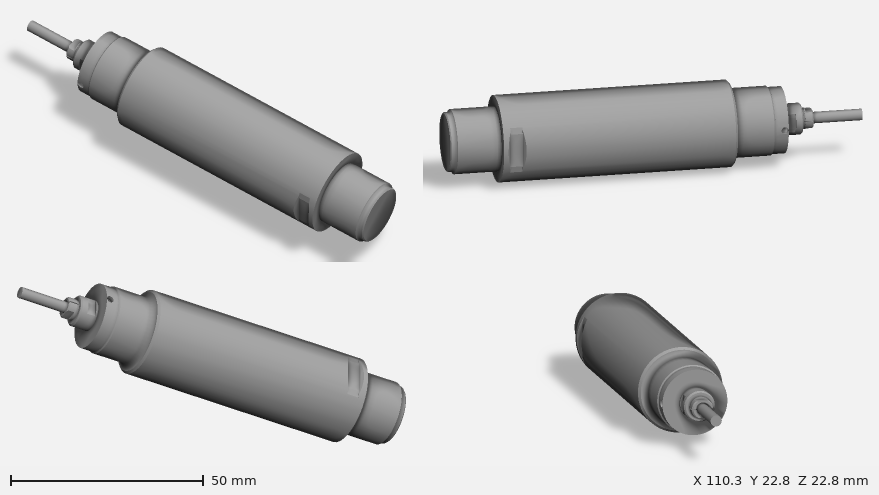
import cadquery as cq
import math


clamp_start = 13.15
clamp_flats_end = 15.15
clamp_neck_start = 15.45
clamp_slit_end = 15.85
collar_start = 16.1
cap_start = 21.0
sleeve_start = 24.5
shoulder_fillet_start = 33.4
barrel_start = 34.85
barrel_end = 96.9
nose_start = 97.9
nose_hollow_start = 108.5
nose_hollow_middle = 109.3
overall_length = 110.27

cable_radius = 1.5

clamp_radius = 2.85
clamp_neck_radius = 2.75
clamp_chamfer = 0.35
clamp_across_flats = 4.4
clamp_countersink = 0.35
clamp_slit_width = 0.3

collar_radius = 4.15
collar_chamfer = 0.4
collar_notch_start = 18.1
collar_notch_end = 20.45
collar_notch_depth = 0.75
collar_flat_half_height = 1.5
collar_notch_half_height = 2.5

cap_radius = 8.75
cap_hole_radius = 0.95
cap_hole_wall = 0.03
cap_hole_floor = 7.4
cap_hole_tip_angle = 118.0

sleeve_radius = 9.1
sleeve_edge_chamfer = sleeve_radius - cap_radius
barrel_radius = 11.4
barrel_edge_chamfer = 0.6
neck_radius = 8.45
nose_radius = 8.5
rim_radius = 7.8
rim_chamfer = 0.3
wrench_notch_start = 91.7
wrench_notch_end = 94.95
wrench_notch_depth = 1.3
wrench_flat_half_height = 4.45
wrench_notch_half_height = 6.1
wrench_wall_angle = 30.0


def revolve_about_x(profile):
    """Close a half profile drawn in X and -Y, and turn it into a solid of revolution."""
    return profile.close().revolve(360, (0, 0, 0), (1, 0, 0))


def half_profile(x, radius):
    return cq.Workplane("XY").moveTo(x, 0).lineTo(x, -radius)


def side_notches(start, end, surface_radius, depth, flat_half, notch_half, wall_angle):
    """Two opposite cutters, on -Y and +Y: a flat with a sloping facet above and below it.

    The facets run out to nothing on the round surface at the top and bottom of the notch,
    and the end walls lean outward by wall_angle.
    """
    floor = surface_radius - depth
    run_out = math.sqrt(surface_radius**2 - notch_half**2)
    slope = (floor - run_out) / (notch_half - flat_half)
    top = 2 * notch_half
    top_y = floor - slope * (top - flat_half)
    outside = surface_radius + depth
    spread = 2 * depth * math.tan(math.radians(wall_angle))
    walls = (
        cq.Workplane("XY")
        .polyline([
            (start, floor),
            (end, floor),
            (end + spread, outside),
            (start - spread, outside),
        ])
        .close()
        .extrude(notch_half, both=True)
    )
    floor_block = (
        cq.Workplane("XY")
        .box(end - start, depth, 2 * notch_half)
        .translate(((start + end) / 2, floor - depth / 2, 0))
    )
    facets = (
        cq.Workplane("YZ")
        .polyline([
            (outside, -top),
            (top_y, -top),
            (floor, -flat_half),
            (floor, flat_half),
            (top_y, top),
            (outside, top),
        ])
        .close()
        .extrude(overall_length)
    )
    cutter = walls.union(floor_block).intersect(facets)
    return cutter.union(cutter.mirror("XZ"))


def make_cable():
    """Round cable that passes through the clamp and ends against the collar."""
    return cq.Workplane("YZ").circle(cable_radius).extrude(collar_start)


def make_clamp():
    """Slit clamp around the cable, with two wrench flats on its front part."""
    body = revolve_about_x(
        half_profile(clamp_start, clamp_radius - clamp_chamfer)
        .lineTo(clamp_start + clamp_chamfer, -clamp_radius)
        .lineTo(clamp_neck_start, -clamp_radius)
        .lineTo(clamp_neck_start, -clamp_neck_radius)
        .lineTo(collar_start, -clamp_neck_radius)
        .lineTo(collar_start, 0)
    )
    flats_length = clamp_flats_end - clamp_start
    offcut_height = clamp_radius
    for side in (1, -1):
        offcut = cq.Workplane("XY").box(flats_length, 2 * clamp_radius, offcut_height).translate((
            clamp_start + flats_length / 2,
            0,
            side * (clamp_across_flats + offcut_height) / 2,
        ))
        body = body.cut(offcut)
    countersink = revolve_about_x(
        half_profile(clamp_start, cable_radius + clamp_countersink)
        .lineTo(clamp_start + clamp_countersink, -cable_radius)
        .lineTo(clamp_start + clamp_countersink, 0)
    )
    slit_length = clamp_slit_end - clamp_start
    slit = cq.Workplane("XY").box(slit_length, 2 * clamp_radius, clamp_slit_width).translate((
        clamp_start + slit_length / 2, 0, 0,
    ))
    return body.cut(make_cable()).cut(countersink).cut(slit)


def make_collar():
    """Round collar with a wrench notch on each side."""
    body = revolve_about_x(
        half_profile(collar_start, collar_radius - collar_chamfer)
        .lineTo(collar_start + collar_chamfer, -collar_radius)
        .lineTo(cap_start, -collar_radius)
        .lineTo(cap_start, 0)
    )
    return body.cut(side_notches(
        collar_notch_start, collar_notch_end, collar_radius, collar_notch_depth,
        collar_flat_half_height, collar_notch_half_height, 0,
    ))


def make_cap():
    """End disc with a blind, cone-tipped hole drilled into each side of its rim."""
    body = cq.Workplane("YZ").workplane(offset=cap_start)
    body = body.circle(cap_radius).extrude(sleeve_start - cap_start)
    hole_x = cap_start + cap_hole_wall + cap_hole_radius
    tip_depth = cap_hole_radius / math.tan(math.radians(cap_hole_tip_angle / 2))
    hole = (
        cq.Workplane("XY")
        .polyline([
            (hole_x, -(cap_hole_floor - tip_depth)),
            (hole_x - cap_hole_radius, -cap_hole_floor),
            (hole_x - cap_hole_radius, -cap_radius),
            (hole_x, -cap_radius),
        ])
        .close()
        .revolve(360, (hole_x, 0, 0), (hole_x, 1, 0))
    )
    return body.cut(hole).cut(hole.mirror("XZ"))


def make_housing():
    """Sleeve, barrel with wrench notches, and nose, turned as one piece."""
    fillet = barrel_start - shoulder_fillet_start
    fillet_mid = fillet * math.sin(math.radians(45))
    body = revolve_about_x(
        half_profile(sleeve_start, sleeve_radius - sleeve_edge_chamfer)
        .lineTo(sleeve_start + sleeve_edge_chamfer, -sleeve_radius)
        .lineTo(shoulder_fillet_start, -sleeve_radius)
        .threePointArc(
            (shoulder_fillet_start + fillet_mid, -(sleeve_radius + fillet - fillet_mid)),
            (barrel_start, -(sleeve_radius + fillet)),
        )
        .lineTo(barrel_start, -(barrel_radius - barrel_edge_chamfer))
        .lineTo(barrel_start + barrel_edge_chamfer, -barrel_radius)
        .lineTo(barrel_end, -barrel_radius)
        .lineTo(barrel_end, -neck_radius)
        .lineTo(nose_start, -neck_radius)
        .lineTo(nose_start, -nose_radius)
        .lineTo(nose_hollow_start, -nose_radius)
        .threePointArc(
            (nose_hollow_middle, -rim_radius),
            (overall_length - rim_chamfer, -rim_radius),
        )
        .lineTo(overall_length, -(rim_radius - rim_chamfer))
        .lineTo(overall_length, 0)
    )
    return body.cut(side_notches(
        wrench_notch_start, wrench_notch_end, barrel_radius, wrench_notch_depth,
        wrench_flat_half_height, wrench_notch_half_height, wrench_wall_angle,
    ))


cable = make_cable()
clamp = make_clamp()
collar = make_collar()
cap = make_cap()
housing = make_housing()

result = cq.Compound.makeCompound([
    cable.val(),
    clamp.val(),
    collar.val(),
    cap.val(),
    housing.val(),
])